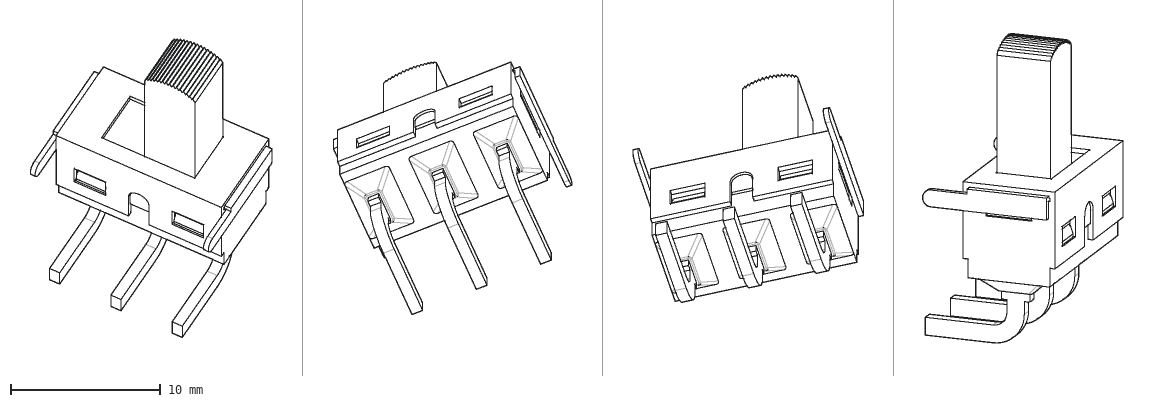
import cadquery as cq
import math


body_length = 12.61
cover_width = 6.6
cover_top = 11.45
cover_bottom = 6.07
base_width = 5.87
base_bottom = 4.75

slot_length = 7.1
slot_width = 3.98
slot_depth = 0.45
slider_length = 3.85
slider_width = 3.85
slider_x = (slot_length - slider_length) / 2

tip_radius = 3.05
tooth_pitch_angle = 5
groove_angle = 60
teeth_per_side = 7
slider_top = 20.5

window_x = 3.73
window_length = 2.4
window_bottom = 7.25
window_top = 8.65
barb_length = 2.24
barb_edge_top = 7.47
barb_top = 8.16
barb_depth = 0.25

notch_width = 1.55
notch_top = 8.95
key_clearance = 0.05
key_depth = 0.2

bracket_length = 13.58
plate_thickness = 0.37
plate_top = 11.12
plate_bottom = 9.58
strip_back_y = 2.9
strip_front_y = -2.83
strip_thickness = 0.35
strip_slot_width = 5.87
strip_slot_chamfer = 0.16
arm_tip_y = -6.0
end_recess_width = 3.26
end_recess_bottom = 9.23
end_recess_depth = 0.2

pin_pitch = 4.68
pin_count = 3
pin_thickness = 0.78
pin_width = 1.25
pin_tip_y = -6.48
bend_radius = 0.98
shoulder_width = 2.05
shoulder_bottom = 3.14
cone_bottom = 3.73
cone_bottom_margin = 0.2
cone_corner_radius = 0.33
cone_rim_radius = 0.16


def box(length, width, bottom, top, x=0, y=0):
    """Upright block centred on (x, y) between two heights."""
    block = cq.Workplane("XY").box(length, width, top - bottom, centered=(True, True, False))
    return block.translate((x, y, bottom))


def both_sides(shape, plane):
    """Shape joined with its mirror image."""
    return shape.union(shape.mirror(plane))


def make_body():
    """Cover block on a narrower base, with the slider opening sunk into the top."""
    cover = box(body_length, cover_width, cover_bottom, cover_top)
    base = box(body_length, base_width, base_bottom, cover_bottom)
    slider_slot = box(slot_length, slot_width, cover_top - slot_depth, cover_top)
    return cover.union(base).cut(slider_slot)


def make_slider():
    """Post whose domed end is cut by upright V-grooves, with their tips at equal angles on an arc."""
    half_length = slider_length / 2
    slot_floor = cover_top - slot_depth
    arc_center_z = slider_top - tip_radius
    flank_slope = 1 / math.tan(math.radians(groove_angle / 2))

    tips = []
    for index in range(-teeth_per_side, teeth_per_side + 1):
        angle = math.radians(index * tooth_pitch_angle)
        tips.append((tip_radius * math.sin(angle), arc_center_z + tip_radius * math.cos(angle)))

    last_x, last_z = tips[-1]
    side_top = last_z - flank_slope * (half_length - last_x)

    points = [(-half_length, slot_floor), (-half_length, side_top), tips[0]]
    for (left_x, left_z), (right_x, right_z) in zip(tips, tips[1:]):
        root_x = (left_x + right_x + (left_z - right_z) / flank_slope) / 2
        root_z = left_z - flank_slope * (root_x - left_x)
        points += [(root_x, root_z), (right_x, right_z)]
    points += [(half_length, side_top), (half_length, slot_floor)]

    profile = cq.Workplane("XZ").polyline(points).close()
    return profile.extrude(slider_width / 2, both=True).translate((slider_x, 0, 0))


def make_round_top_block(width, bottom, top, depth):
    """Block with a half-round top, reaching outward from the front face of the base."""
    radius = width / 2
    profile = (
        cq.Workplane("XZ", origin=(0, -base_width / 2, 0))
        .moveTo(-radius, bottom)
        .lineTo(-radius, top - radius)
        .threePointArc((0, top), (radius, top - radius))
        .lineTo(radius, bottom)
        .close()
    )
    return profile.extrude(depth)


def make_cover_openings():
    """Windows and notches in both long walls of the cover."""
    wall = (cover_width - base_width) / 2
    wall_y = -(base_width + wall) / 2
    openings = make_round_top_block(notch_width, cover_bottom, notch_top, wall)
    for x in (-window_x, window_x):
        openings = openings.union(box(window_length, wall, window_bottom, window_top, x, wall_y))
    return both_sides(openings, "XZ")


def make_latches():
    """Barbs in the windows and keys in the notches, on both long walls."""
    key_top = notch_top - key_clearance
    latches = make_round_top_block(notch_width - 2 * key_clearance, window_bottom, key_top, key_depth)
    root_y = -base_width / 2
    edge_y = root_y - barb_depth
    barb = (
        cq.Workplane("YZ")
        .moveTo(root_y, window_bottom)
        .lineTo(edge_y, window_bottom)
        .lineTo(edge_y, barb_edge_top)
        .lineTo(root_y, barb_top)
        .close()
        .extrude(barb_length / 2, both=True)
    )
    for x in (-window_x, window_x):
        latches = latches.union(barb.translate((x, 0, 0)))
    return both_sides(latches, "XZ")


def make_bracket_clearance():
    """Slot for the bracket strip through the cover, and a recess behind each end plate."""
    strip_bottom = plate_top - strip_thickness
    clearance = box(body_length, strip_slot_width, strip_bottom, plate_top)
    clearance = clearance.edges("|X and >Z").chamfer(strip_slot_chamfer)
    for side in (-1, 1):
        recess_x = side * (body_length - end_recess_depth) / 2
        recess = box(end_recess_depth, end_recess_width, end_recess_bottom, strip_bottom, recess_x)
        clearance = clearance.union(recess)
    return clearance


def make_bracket():
    """Strip through the cover joining two end plates, each with a round-ended arm."""
    strip_bottom = plate_top - strip_thickness
    strip_width = strip_back_y - strip_front_y
    strip_y = (strip_back_y + strip_front_y) / 2
    strip = box(bracket_length, strip_width, strip_bottom, plate_top, y=strip_y)

    arm_radius = (strip_bottom - plate_bottom) / 2
    arc_y = arm_tip_y + arm_radius
    plate = (
        cq.Workplane("YZ", origin=(-bracket_length / 2, 0, 0))
        .moveTo(strip_back_y, plate_top)
        .lineTo(strip_front_y, plate_top)
        .lineTo(strip_front_y, strip_bottom)
        .lineTo(arc_y, strip_bottom)
        .threePointArc((arm_tip_y, plate_bottom + arm_radius), (arc_y, plate_bottom))
        .lineTo(strip_back_y, plate_bottom)
        .close()
        .extrude(plate_thickness)
    )
    return strip.union(both_sides(plate, "YZ"))


def make_cone():
    """Four-sided sealing cone with 45-degree faces, rounded corners and a rounded lower rim."""
    height = base_bottom - cone_bottom
    lower_length = pin_thickness + 2 * cone_bottom_margin
    lower_width = shoulder_width + 2 * cone_bottom_margin
    cone = (
        cq.Workplane("XY", origin=(0, 0, cone_bottom))
        .rect(lower_length, lower_width)
        .workplane(offset=height)
        .rect(lower_length + 2 * height, lower_width + 2 * height)
        .loft(ruled=True)
    )
    slanted_corners = cone.edges("not #Z")
    return slanted_corners.fillet(cone_corner_radius).faces("<Z").edges().fillet(cone_rim_radius)


def make_pin():
    """One bent pin with its wider shoulder and sealing cone, at X = 0."""
    half_width = pin_width / 2
    outer_radius = bend_radius + pin_width
    bend_y = half_width - outer_radius
    arc_share = math.sqrt(0.5)
    outer_mid = (bend_y + outer_radius * arc_share, outer_radius * (1 - arc_share))
    inner_mid = (bend_y + bend_radius * arc_share, outer_radius - bend_radius * arc_share)
    pin = (
        cq.Workplane("YZ")
        .moveTo(half_width, base_bottom)
        .lineTo(half_width, outer_radius)
        .threePointArc(outer_mid, (bend_y, 0))
        .lineTo(pin_tip_y, 0)
        .lineTo(pin_tip_y, pin_width)
        .lineTo(bend_y, pin_width)
        .threePointArc(inner_mid, (-half_width, outer_radius))
        .lineTo(-half_width, base_bottom)
        .close()
        .extrude(pin_thickness / 2, both=True)
    )
    shoulder = box(pin_thickness, shoulder_width, shoulder_bottom, base_bottom)
    return pin.union(shoulder).union(make_cone())


result = make_body().union(make_slider())
result = result.cut(make_cover_openings()).union(make_latches())
result = result.cut(make_bracket_clearance()).union(make_bracket())
for index in range(pin_count):
    pin_x = (index - (pin_count - 1) / 2) * pin_pitch
    result = result.union(make_pin().translate((pin_x, 0, 0)))